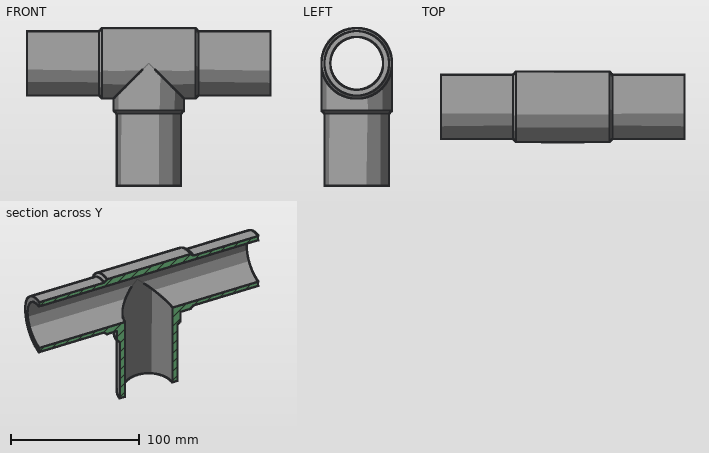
import cadquery as cq

run_length = 189.0
branch_length = 95.0
pipe_diameter = 50.0
collar_diameter = 55.0
bore_diameter = 40.8
spigot_length = 56.0

collar_chamfer = (collar_diameter - pipe_diameter) / 2
run_half_length = run_length / 2
run_collar_reach = run_half_length - spigot_length
branch_collar_reach = branch_length - spigot_length

run_start = cq.Workplane("YZ", origin=(-run_half_length, 0, 0))
run_collar_start = cq.Workplane("YZ", origin=(-run_collar_reach, 0, 0))
branch_start = cq.Workplane("XY")


def cylinder(start, diameter, length):
    return start.circle(diameter / 2).extrude(length)


run_collar = cylinder(run_collar_start, collar_diameter, 2 * run_collar_reach)
run_collar = run_collar.faces("<X or >X").chamfer(collar_chamfer)
branch_collar = cylinder(branch_start, collar_diameter, -branch_collar_reach)
branch_collar = branch_collar.faces("<Z").chamfer(collar_chamfer)

run_pipe = cylinder(run_start, pipe_diameter, run_length)
branch_pipe = cylinder(branch_start, pipe_diameter, -branch_length)

run_bore = cylinder(run_start, bore_diameter, run_length)
branch_bore = cylinder(branch_start, bore_diameter, -branch_length)

outside = run_collar.union(branch_collar).union(run_pipe).union(branch_pipe)
result = outside.cut(run_bore).cut(branch_bore)